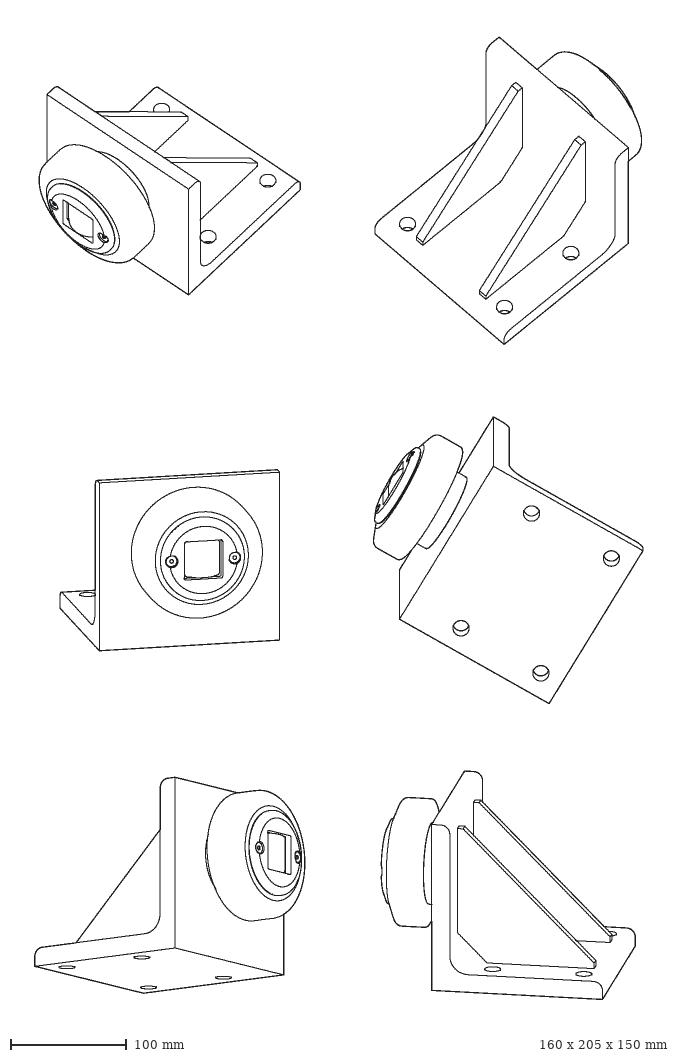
import cadquery as cq
import math

BRACKET_WIDTH = 160.0
LEG = 150.0
LEG_THICKNESS = 16.0
ROOT_RADIUS = 16.0
TOE_RADIUS = 8.0

HOLE_DIAMETER = 13.84
HOLE_OFFSET_X = 60.0
HOLE_ROWS_Y = (50.0, 130.0)

RIB_THICKNESS = 8.0
RIB_INNER_X = 35.0
RIB_LEG = 120.0
RIB_EDGE = 5.0
RIB_RELIEF = 26.0

AXIS_Z = 90.0
HUB_DIAMETER = 71.0
HUB_END_DIAMETER = 70.5
HUB_LENGTH = 15.3

WHEEL_EDGE_DIAMETER = 111.4
WHEEL_CROWN = 0.15
WHEEL_FACE_DIAMETER = 82.7
WHEEL_FACE = 46.7
WHEEL_CONE_ANGLE = 22.0
WHEEL_BACK_RADIUS = 2.5
WHEEL_FRONT_RADIUS = 5.0

CAP_NECK_DIAMETER = 71.6
CAP_DIAMETER = 74.0
CAP_FACE_DIAMETER = 60.0
CAP_BACK = 47.4
CAP_SHOULDER = 50.4
CAP_FACE = 53.4
CAP_BACK_RADIUS = 0.4
CAP_SHOULDER_RADIUS = 0.9

POCKET_SIZE = 34.0
POCKET_CORNER_RADIUS = 1.5
POCKET_FLOOR = 47.5
ROLLER_DIAMETER = 40.0
ROLLER_CROWN = 0.15
ROLLER_LENGTH = 32.0
ROLLER_EDGE_RADIUS = 2.5
ROLLER_FRONT = 54.95

SCREW_OFFSET_X = 28.0
COUNTERBORE_DIAMETER = 10.5
SCREW_HEAD_DIAMETER = 9.75
SCREW_SOCKET_DIAMETER = 3.2
COUNTERBORE_FLOOR = 50.5
SCREW_HEAD_TOP = 52.0
SCREW_SOCKET_DEPTH = 0.5


def turned(half_profile):
    """Revolve (radius, forward distance) points about the wheel axis."""
    points = [(radius, -forward) for radius, forward in half_profile]
    body = cq.Workplane("XY").polyline(points).close().revolve(360, (0, 0), (0, 1))
    return body.translate((0, 0, AXIS_Z))


def forward_cylinder(x, diameter, start, end):
    """Cylinder along the wheel direction between two forward distances."""
    plane = cq.Workplane("XZ", origin=(x, -start, AXIS_Z))
    return plane.circle(diameter / 2).extrude(end - start)


def circular_edges(body, diameter, forward):
    """Edge selector box limited to the circle of the given diameter and forward distance."""
    half = diameter / 2 + 0.1
    slack = 0.1
    return body.edges(
        cq.selectors.BoxSelector(
            (-half, -forward - slack, AXIS_Z - half),
            (half, -forward + slack, AXIS_Z + half),
            boundingbox=True,
        )
    )


def make_bracket():
    profile = (
        cq.Workplane("YZ")
        .moveTo(0, 0)
        .lineTo(LEG, 0)
        .lineTo(LEG, LEG_THICKNESS - TOE_RADIUS)
        .radiusArc((LEG - TOE_RADIUS, LEG_THICKNESS), -TOE_RADIUS)
        .lineTo(LEG_THICKNESS + ROOT_RADIUS, LEG_THICKNESS)
        .radiusArc((LEG_THICKNESS, LEG_THICKNESS + ROOT_RADIUS), ROOT_RADIUS)
        .lineTo(LEG_THICKNESS, LEG - TOE_RADIUS)
        .radiusArc((LEG_THICKNESS - TOE_RADIUS, LEG), -TOE_RADIUS)
        .lineTo(0, LEG)
        .close()
    )
    bracket = profile.extrude(BRACKET_WIDTH / 2, both=True)
    hole_centres = [(side * HOLE_OFFSET_X, y) for side in (-1, 1) for y in HOLE_ROWS_Y]
    holes = cq.Workplane("XY").pushPoints(hole_centres).circle(HOLE_DIAMETER / 2).extrude(LEG_THICKNESS)
    return bracket.cut(holes)


def make_rib(start_x):
    corner = LEG_THICKNESS
    return (
        cq.Workplane("YZ", origin=(start_x, corner, corner))
        .polyline([
            (RIB_RELIEF, 0),
            (RIB_LEG, 0),
            (RIB_LEG, RIB_EDGE),
            (RIB_EDGE, RIB_LEG),
            (0, RIB_LEG),
            (0, RIB_RELIEF),
        ])
        .close()
        .extrude(RIB_THICKNESS)
    )


def make_hub():
    chamfer = (HUB_DIAMETER - HUB_END_DIAMETER) / 2
    return turned([
        (0, 0),
        (HUB_END_DIAMETER / 2, 0),
        (HUB_DIAMETER / 2, chamfer),
        (HUB_DIAMETER / 2, HUB_LENGTH - chamfer),
        (HUB_END_DIAMETER / 2, HUB_LENGTH),
        (0, HUB_LENGTH),
    ])


def make_wheel():
    edge_radius = WHEEL_EDGE_DIAMETER / 2
    face_radius = WHEEL_FACE_DIAMETER / 2
    cone_length = (edge_radius - face_radius) * math.tan(math.radians(WHEEL_CONE_ANGLE))
    cone_start = WHEEL_FACE - cone_length
    crown_middle = (HUB_LENGTH + cone_start) / 2
    wheel = (
        cq.Workplane("XY")
        .moveTo(0, -HUB_LENGTH)
        .lineTo(edge_radius, -HUB_LENGTH)
        .threePointArc((edge_radius + WHEEL_CROWN, -crown_middle), (edge_radius, -cone_start))
        .lineTo(face_radius, -WHEEL_FACE)
        .lineTo(0, -WHEEL_FACE)
        .close()
        .revolve(360, (0, 0), (0, 1))
        .translate((0, 0, AXIS_Z))
    )
    wheel = circular_edges(wheel, WHEEL_EDGE_DIAMETER, HUB_LENGTH).fillet(WHEEL_BACK_RADIUS)
    return circular_edges(wheel, WHEEL_EDGE_DIAMETER, cone_start).fillet(WHEEL_FRONT_RADIUS)


def make_cap():
    cap = turned([
        (0, WHEEL_FACE),
        (CAP_NECK_DIAMETER / 2, WHEEL_FACE),
        (CAP_NECK_DIAMETER / 2, CAP_BACK),
        (CAP_DIAMETER / 2, CAP_BACK),
        (CAP_DIAMETER / 2, CAP_SHOULDER),
        (CAP_FACE_DIAMETER / 2, CAP_FACE),
        (0, CAP_FACE),
    ])
    cap = circular_edges(cap, CAP_DIAMETER, CAP_BACK).edges(">X").fillet(CAP_BACK_RADIUS)
    return circular_edges(cap, CAP_DIAMETER, CAP_SHOULDER).fillet(CAP_SHOULDER_RADIUS)


def pocket_plane():
    """Pocket floor, facing forward."""
    return cq.Workplane("XZ", origin=(0, -POCKET_FLOOR, AXIS_Z))


def make_roller():
    """Crowned roller, keeping only the part in front of the pocket floor."""
    radius = ROLLER_DIAMETER / 2
    end_radius = radius - ROLLER_CROWN
    half_length = ROLLER_LENGTH / 2
    roller = (
        cq.Workplane("XZ")
        .moveTo(0, -half_length)
        .lineTo(end_radius, -half_length)
        .threePointArc((radius, 0), (end_radius, half_length))
        .lineTo(0, half_length)
        .close()
        .revolve(360, (0, 0), (0, 1))
        .edges("%CIRCLE and (<Z or >Z)")
        .fillet(ROLLER_EDGE_RADIUS)
        .translate((0, radius - ROLLER_FRONT, AXIS_Z))
    )
    front_zone = pocket_plane().rect(ROLLER_DIAMETER, ROLLER_DIAMETER).extrude(ROLLER_FRONT - POCKET_FLOOR)
    return roller.intersect(front_zone)


def add_side_roller(body):
    pocket = pocket_plane().rect(POCKET_SIZE, POCKET_SIZE).extrude(CAP_FACE - POCKET_FLOOR)
    pocket = pocket.edges("|Y").fillet(POCKET_CORNER_RADIUS)
    return body.cut(pocket).union(make_roller())


def add_screw(body, x):
    counterbore = forward_cylinder(x, COUNTERBORE_DIAMETER, COUNTERBORE_FLOOR, CAP_FACE)
    head = forward_cylinder(x, SCREW_HEAD_DIAMETER, COUNTERBORE_FLOOR, SCREW_HEAD_TOP)
    socket_floor = SCREW_HEAD_TOP - SCREW_SOCKET_DEPTH
    socket = forward_cylinder(x, SCREW_SOCKET_DIAMETER, socket_floor, SCREW_HEAD_TOP)
    return body.cut(counterbore).union(head).cut(socket)


result = make_bracket()
for rib_start in (-RIB_INNER_X - RIB_THICKNESS, RIB_INNER_X):
    result = result.union(make_rib(rib_start))
result = result.union(make_hub()).union(make_wheel()).union(make_cap())
result = add_side_roller(result)
for screw_x in (-SCREW_OFFSET_X, SCREW_OFFSET_X):
    result = add_screw(result, screw_x)